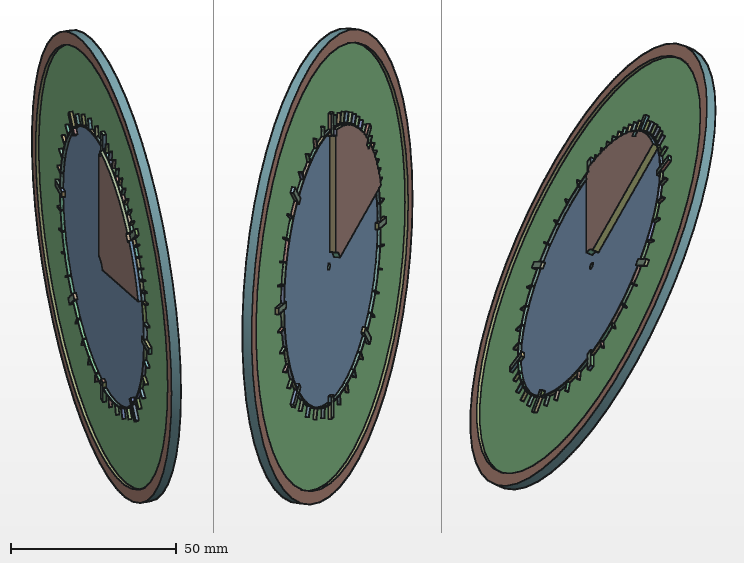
import cadquery as cq
import math

disc_diameter = 144.0
recess_diameter = 136.0
hole_diameter = 2.0
step_height = 1.0
disc_thickness = 3 * step_height
floor_y = step_height - disc_thickness

scale_offset_x = 0.3
scale_offset_z = 0.3
ring_outer_radius = 43.3
ring_inner_radius = 43.0
mark_inner_radius = 41.2
mark_outer_radius = 48.2
mark_width = 2.0
tick_outer_radius = 46.7
tick_width = 0.36

full_turn = 360.0
mark_step = 45.0
fine_tick_step = 4.5
coarse_tick_step = 9.0
fine_scale_end = 72.0

wedge_inner_radius = 4.2
wedge_clearance = 0.22
wedge_thickness = 2 * step_height


def front_sketch(y):
    """Workplane on the disc axis facing -Y, with local x along X and local y along Z."""
    return cq.Workplane(cq.Plane(origin=(0, y, 0), xDir=(1, 0, 0), normal=(0, -1, 0)))


def scale_sketch():
    """Workplane on the recess floor, centred on the scale axis."""
    return front_sketch(floor_y).center(scale_offset_x, scale_offset_z)


def radial_bar(inner_radius, outer_radius, width, height, angle):
    """Bar standing on the recess floor, pointing away from the scale axis."""
    axis_start = (scale_offset_x, 0, scale_offset_z)
    axis_end = (scale_offset_x, 1, scale_offset_z)
    bar = (
        scale_sketch()
        .center(0, (inner_radius + outer_radius) / 2)
        .rect(width, outer_radius - inner_radius)
        .extrude(height)
    )
    return bar.rotate(axis_start, axis_end, angle)


def angle_steps(first, last, step):
    """Angles from first up to, but not including, last."""
    return [first + step * i for i in range(round((last - first) / step))]


mark_angles = angle_steps(0, full_turn, mark_step)
fine_angles = angle_steps(0, fine_scale_end, fine_tick_step)
coarse_angles = angle_steps(fine_scale_end, full_turn, coarse_tick_step)
tick_angles = [angle for angle in fine_angles + coarse_angles if angle not in mark_angles]


def make_disc():
    """Recessed disc carrying the raised ring, its eight marks and the ticks between them."""
    body = front_sketch(0).circle(disc_diameter / 2).extrude(disc_thickness)
    body = body.cut(front_sketch(floor_y).circle(recess_diameter / 2).extrude(step_height))

    ring = scale_sketch().circle(ring_outer_radius).circle(ring_inner_radius).extrude(step_height)
    body = body.union(ring)

    tick_root = (ring_inner_radius + ring_outer_radius) / 2
    for angle in tick_angles:
        body = body.union(radial_bar(tick_root, tick_outer_radius, tick_width, step_height, angle))
    for angle in mark_angles:
        body = body.union(
            radial_bar(mark_inner_radius, mark_outer_radius, mark_width, step_height, angle)
        )

    return body.cut(front_sketch(0).circle(hole_diameter / 2).extrude(disc_thickness))


def make_wedge():
    """Sector plate on the recess floor, notched around the marks that reach into it."""
    outer_radius = ring_inner_radius - wedge_clearance
    half_angle = math.radians(fine_scale_end / 2)

    def start_side(radius):
        """Point on the side along +Z, set in by the clearance."""
        angle = math.asin(wedge_clearance / radius)
        return (radius * math.sin(angle), radius * math.cos(angle))

    def middle(radius):
        return (radius * math.sin(half_angle), radius * math.cos(half_angle))

    def end_side(radius):
        """Point on the side at the end of the fine scale, set in by the clearance."""
        angle = 2 * half_angle - math.asin(wedge_clearance / radius)
        return (radius * math.sin(angle), radius * math.cos(angle))

    body = (
        scale_sketch()
        .moveTo(*start_side(wedge_inner_radius))
        .lineTo(*start_side(outer_radius))
        .threePointArc(middle(outer_radius), end_side(outer_radius))
        .lineTo(*end_side(wedge_inner_radius))
        .threePointArc(middle(wedge_inner_radius), start_side(wedge_inner_radius))
        .close()
        .extrude(wedge_thickness)
    )

    notch_inner_radius = mark_inner_radius - wedge_clearance
    notch_width = mark_width + 2 * wedge_clearance
    for angle in mark_angles:
        if angle < fine_scale_end:
            body = body.cut(
                radial_bar(notch_inner_radius, mark_outer_radius, notch_width, wedge_thickness, angle)
            )
    return body


disc = make_disc()
wedge = make_wedge()

result = cq.Compound.makeCompound([disc.val(), wedge.val()])